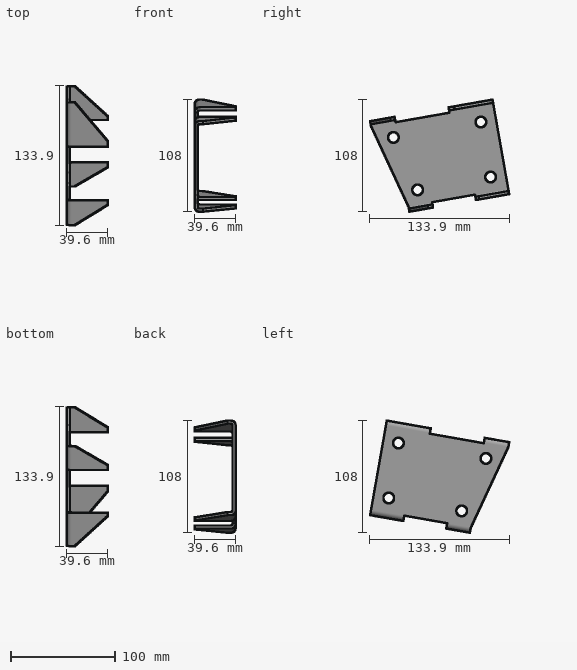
import cadquery as cq
import math

thickness = 3.2
inner_radius = 1.6
outer_radius = inner_radius + thickness
depth = 39.6

height = 92.5
top_width = 119.7
bottom_width = 97.6
tilt = 10
edge_relief = 0.4
bend_bottom = outer_radius
bend_top = height - outer_radius

hole_diameter = 10.0
hole_edge_distance = 19.4
hole_side_distance = 14.9
top_hole_spacing = 85.5
bottom_hole_spacing = 71.3

top_left_length = 43.1
top_right_length = 24.1
bottom_left_length = 32.7
bottom_right_length = 23.3
taper_start = 8.0
top_left_tip = 5.4
top_right_tip = 4.4
bottom_left_tip = 3.3
bottom_right_tip = 4.7


def make_plate():
    """Flat plate with a sloping right edge between the upper and lower bends."""
    outline = [
        (0, bend_bottom),
        (0, bend_top),
        (-top_width, bend_top),
        (-bottom_width, bend_bottom),
    ]
    return cq.Workplane("YZ").polyline(outline).close().extrude(thickness)


def make_flange(outer_y, length, tip, side, is_top):
    """Bent flange; side is the Y direction from its tapered edge to its straight edge."""
    diagonal = math.sqrt(0.5)
    bend_centre_z = height - outer_radius
    outer_mid = (outer_radius * (1 - diagonal), bend_centre_z + outer_radius * diagonal)
    inner_mid = (outer_radius - inner_radius * diagonal, bend_centre_z + inner_radius * diagonal)
    straight_y = outer_y + side * length
    profile = (
        cq.Workplane("XZ", origin=(0, max(outer_y, straight_y), 0))
        .moveTo(0, bend_centre_z)
        .threePointArc(outer_mid, (outer_radius, height))
        .lineTo(depth, height)
        .lineTo(depth, height - thickness)
        .lineTo(outer_radius, height - thickness)
        .threePointArc(inner_mid, (thickness, bend_centre_z))
        .close()
        .extrude(length)
    )
    outline = [
        (0, outer_y),
        (taper_start, outer_y),
        (depth, straight_y - side * tip),
        (depth, straight_y),
        (0, straight_y),
    ]
    flange = profile.intersect(cq.Workplane("XY").polyline(outline).close().extrude(height))
    if not is_top:
        flange = flange.mirror("XY", (0, 0, height / 2))
    return flange


def make_edge_reliefs():
    """Shallow cuts in the plate edges between each pair of flanges."""
    top_gap = top_width - top_left_length - top_right_length
    bottom_gap = bottom_width - bottom_left_length - bottom_right_length
    top = cq.Workplane("XY").box(thickness, top_gap, edge_relief, centered=False)
    bottom = cq.Workplane("XY").box(thickness, bottom_gap, edge_relief, centered=False)
    top = top.translate((0, -top_left_length - top_gap, bend_top - edge_relief))
    bottom = bottom.translate((0, -bottom_left_length - bottom_gap, bend_bottom))
    return top.union(bottom)


def make_holes():
    """Four through holes, one near each corner of the plate."""
    top_z = height - hole_edge_distance
    bottom_z = hole_edge_distance
    centres = [
        (-hole_side_distance, top_z),
        (-hole_side_distance - top_hole_spacing, top_z),
        (-hole_side_distance, bottom_z),
        (-hole_side_distance - bottom_hole_spacing, bottom_z),
    ]
    return cq.Workplane("YZ").pushPoints(centres).circle(hole_diameter / 2).extrude(thickness)


bracket = make_plate().cut(make_edge_reliefs()).cut(make_holes())
flanges = [
    (0, top_left_length, top_left_tip, -1, True),
    (-top_width, top_right_length, top_right_tip, 1, True),
    (0, bottom_left_length, bottom_left_tip, -1, False),
    (-bottom_width, bottom_right_length, bottom_right_tip, 1, False),
]
for flange in flanges:
    bracket = bracket.union(make_flange(*flange))

result = bracket.rotate((0, 0, 0), (1, 0, 0), tilt)